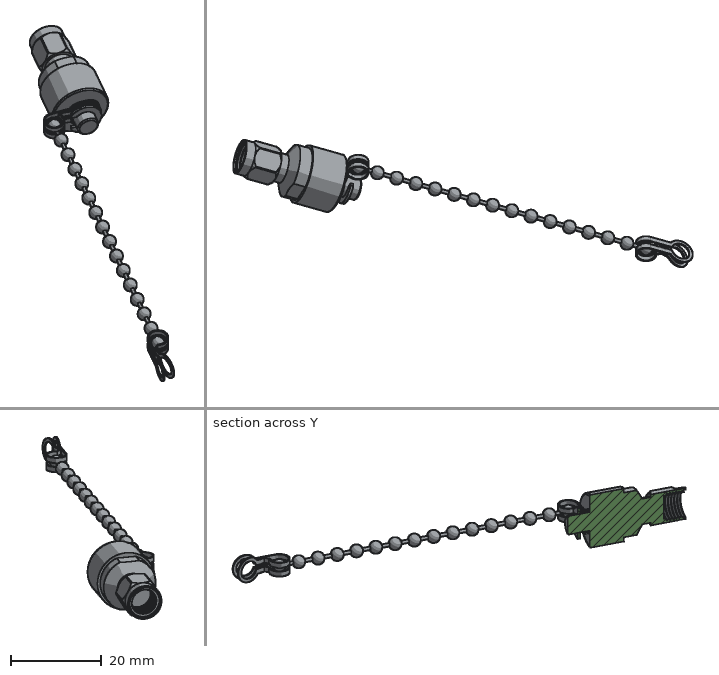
import cadquery as cq
import math

collar_length = 2.1
nut_end = 8.4
hex_across_flats = 7.8
collar_radius = hex_across_flats / 2
hex_corner_radius = 4.4
hex_chamfer_length = 0.7
bore_radius = 2.8
bore_depth = 5.2
mouth_radius = 3.5
mouth_depth = 0.4
thread_pitch = 0.7
thread_radius = 3.4
thread_groove_count = 6
neck_radius = 3.3
cone_start = 10.4
flange_start = 12.0
flange_radius = 6.0
flange_across_flats = 11.1
barrel_start = 14.8
barrel_end = 23.1
barrel_radius = 6.6
stud_end = 28.3
stud_radius = 2.4
edge_chamfer = 0.3

retainer_start = 25.3
retainer_thickness = 0.6
retainer_radius = 3.9
retainer_opening = 3.1
retainer_foot_y = -3.1

bead_count = 16
bead_pitch = 4.6
bead_radius = 1.5
wire_radius = 0.4
loop_radius = 2.3
chain_start_x = barrel_end + loop_radius
chain_end_x = chain_start_x + (bead_count - 1) * bead_pitch
chain_y = -7.0

clip_thickness = 0.3
loop_end_angle = 20.0
clip_half_width = 1.7
slot_half_width = 0.45
eye_radius = 2.9

total_length = 104.9
near_hinge = (1.8, -1.8)
near_tilt = 7.0
near_hole_radius = 2.5
near_eye_start = 6.8
near_eye_end = 8.4
far_hinge = (2.9, -1.7)
far_tilt = 15.0
far_hole_radius = 2.1
far_eye_centre = total_length - chain_end_x - eye_radius


def cylinder_x(start, end, radius):
    """Solid cylinder on the X axis."""
    return cq.Workplane("YZ").workplane(offset=start).circle(radius).extrude(end - start)


def make_nut():
    """Hexagon with both ends turned down, and a round collar in front."""
    across_corners = hex_across_flats / math.cos(math.pi / 6)
    hexagon = (
        cq.Workplane("YZ")
        .workplane(offset=collar_length)
        .polygon(6, across_corners)
        .extrude(nut_end - collar_length)
    )
    turned = (
        cq.Workplane("XY")
        .moveTo(collar_length, 0)
        .lineTo(collar_length, collar_radius)
        .lineTo(collar_length + hex_chamfer_length, hex_corner_radius)
        .lineTo(nut_end - hex_chamfer_length, hex_corner_radius)
        .lineTo(nut_end, collar_radius)
        .lineTo(nut_end, 0)
        .close()
        .revolve(360, (0, 0, 0), (1, 0, 0))
    )
    return hexagon.intersect(turned).union(cylinder_x(0, collar_length, collar_radius))


def make_flange():
    """Cone and rim with two flats facing up and down."""
    flange = (
        cq.Workplane("XY")
        .moveTo(cone_start, 0)
        .lineTo(cone_start, neck_radius)
        .lineTo(flange_start, flange_radius)
        .lineTo(barrel_start, flange_radius)
        .lineTo(barrel_start, 0)
        .close()
        .revolve(360, (0, 0, 0), (1, 0, 0))
    )
    between_flats = cq.Workplane("XY").box(2 * barrel_start, 2 * flange_radius, flange_across_flats)
    return flange.intersect(between_flats)


def make_thread_groove(start):
    """Ring with a V section that widens the bore over one thread pitch."""
    return (
        cq.Workplane("XY")
        .moveTo(start, 0)
        .lineTo(start, bore_radius)
        .lineTo(start + thread_pitch / 2, thread_radius)
        .lineTo(start + thread_pitch, bore_radius)
        .lineTo(start + thread_pitch, 0)
        .close()
        .revolve(360, (0, 0, 0), (1, 0, 0))
    )


def make_cap():
    """One turned piece from the threaded nut to the stud."""
    neck = cylinder_x(nut_end, cone_start, neck_radius)
    barrel = cylinder_x(barrel_start, barrel_end, barrel_radius).faces(">X").chamfer(edge_chamfer)
    stud = cylinder_x(barrel_end, stud_end, stud_radius).faces(">X").chamfer(edge_chamfer)
    cap = make_nut().union(neck).union(make_flange()).union(barrel).union(stud)
    bore = cylinder_x(0, bore_depth, bore_radius)
    mouth = cylinder_x(0, mouth_depth, mouth_radius)
    cap = cap.cut(bore).cut(mouth)
    for index in range(thread_groove_count):
        cap = cap.cut(make_thread_groove(mouth_depth + index * thread_pitch))
    return cap


def make_retainer():
    """Ring around the stud, open toward the chain, with its two feet cut off square."""
    end = retainer_start + retainer_thickness
    ring = cylinder_x(retainer_start, end, retainer_radius)
    ring = ring.cut(cylinder_x(retainer_start, end, stud_radius))
    middle = (retainer_start + end) / 2
    opening = cq.Workplane("XY").box(retainer_thickness, retainer_radius, retainer_opening)
    opening = opening.translate((middle, -retainer_radius / 2, 0))
    below_feet = cq.Workplane("XY").box(retainer_thickness, retainer_radius, 2 * retainer_radius)
    below_feet = below_feet.translate((middle, retainer_foot_y - retainer_radius / 2, 0))
    return ring.cut(opening).cut(below_feet)


def make_chain():
    """Beads threaded on the wire and fixed to it, as one solid."""
    chain = cylinder_x(chain_start_x, chain_end_x, wire_radius).translate((0, chain_y, 0))
    for index in range(bead_count):
        bead_x = chain_start_x + index * bead_pitch
        chain = chain.union(cq.Workplane("XY").sphere(bead_radius).translate((bead_x, chain_y, 0)))
    return chain


def make_leg(start, eye_start, eye_end, hole_radius):
    """Flat leg lying on its lower face at y = 0, from start along +X to a rounded eye."""
    eye_middle = (eye_start + eye_end) / 2
    eye_span = eye_end - eye_start

    def rounded(radius):
        plate = cq.Workplane("XZ").center(eye_middle, 0)
        if eye_span > 0:
            plate = plate.slot2D(eye_span + 2 * radius, 2 * radius)
        else:
            plate = plate.circle(radius)
        return plate.extrude(-clip_thickness)

    strip = (
        cq.Workplane("XZ")
        .moveTo((start + eye_start) / 2, 0)
        .rect(eye_start - start, 2 * clip_half_width)
        .extrude(-clip_thickness)
    )
    return strip.union(rounded(eye_radius)).cut(rounded(hole_radius))


def make_clip(hinge, tilt, eye_start, eye_end, hole_radius):
    """Clip with its loop on the Z axis: one leg flat along +X, the other tilted up from the hinge."""
    inner_radius = loop_radius - clip_thickness
    angle = math.radians(loop_end_angle)
    outer_end = (loop_radius * math.cos(angle), -loop_radius * math.sin(angle))
    inner_end = (inner_radius * math.cos(angle), -inner_radius * math.sin(angle))
    hinge_x, hinge_y = hinge
    half_thickness = clip_thickness / 2
    leg_root = (hinge_x, hinge_y - half_thickness, 0)
    loop = (
        cq.Workplane("XY")
        .workplane(offset=-clip_half_width)
        .moveTo(0, -loop_radius)
        .threePointArc((0, loop_radius), outer_end)
        .lineTo(hinge_x + half_thickness, hinge_y + half_thickness)
        .lineTo(hinge_x, -inner_radius)
        .lineTo(hinge_x - half_thickness, hinge_y)
        .lineTo(*inner_end)
        .threePointArc((0, inner_radius), (0, -inner_radius))
        .close()
        .extrude(2 * clip_half_width)
    )
    flat_leg = make_leg(0, eye_start, eye_end, hole_radius).translate((0, -loop_radius, 0))
    tilted_leg = (
        make_leg(hinge_x, eye_start, eye_end, hole_radius)
        .translate((0, leg_root[1], 0))
        .rotate(leg_root, (leg_root[0], leg_root[1], 1), tilt)
    )
    slot_height = 2 * loop_radius
    slot_length = loop_radius + eye_start
    slot = cq.Workplane("XY").box(slot_length, slot_height, 2 * slot_half_width)
    slot = slot.translate((slot_length / 2 - loop_radius, 0, 0))
    return loop.union(flat_leg).union(tilted_leg).cut(slot)


cap = make_cap()
retainer = make_retainer()
chain = make_chain()

near_clip = (
    make_clip(near_hinge, near_tilt, near_eye_start, near_eye_end, near_hole_radius)
    .rotate((0, 0, 0), (1, 0, 0), 180)
    .rotate((0, 0, 0), (0, 0, 1), 90)
    .translate((chain_start_x, chain_y, 0))
)
far_clip = make_clip(far_hinge, far_tilt, far_eye_centre, far_eye_centre, far_hole_radius)
far_clip = far_clip.translate((chain_end_x, chain_y, 0))

result = cq.Compound.makeCompound([cap.val(), retainer.val(), chain.val(), near_clip.val(), far_clip.val()])